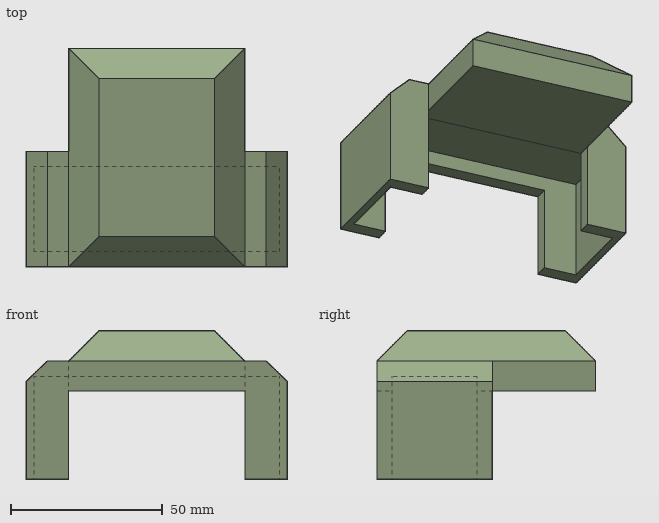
import cadquery as cq

bridge_width = 86.0
plate_length = 72.0
total_height = 49.0
leg_thickness = 14.0
leg_length = 38.0
plate_thickness = 10.0
pad_height = 10.0
pad_inset = 10.0
shoulder_run = 7.0
shoulder_drop = 6.7
cavity_side_wall = 2.5
cavity_end_wall = 5.0
cavity_height = 34.0

plate_width = bridge_width - 2 * leg_thickness
plate_top = total_height - pad_height
plate_bottom = plate_top - plate_thickness
half_bridge = bridge_width / 2
half_plate = plate_width / 2


def make_bridge():
    """U-shaped saddle with sloped outer shoulders, extruded from the front face."""
    profile = [
        (-half_bridge, 0),
        (-half_bridge, plate_top - shoulder_drop),
        (-half_bridge + shoulder_run, plate_top),
        (half_bridge - shoulder_run, plate_top),
        (half_bridge, plate_top - shoulder_drop),
        (half_bridge, 0),
        (half_plate, 0),
        (half_plate, plate_bottom),
        (-half_plate, plate_bottom),
        (-half_plate, 0),
    ]
    return cq.Workplane("XZ").polyline(profile).close().extrude(-leg_length)


def make_plate():
    """Flat plate that spans the legs and overhangs behind them."""
    return (
        cq.Workplane("XY", origin=(0, plate_length / 2, plate_bottom))
        .rect(plate_width, plate_length)
        .extrude(plate_thickness)
    )


def make_pad():
    """Raised pad on the plate, sloping inward on all four sides."""
    return (
        cq.Workplane("XY", origin=(0, plate_length / 2, plate_top))
        .rect(plate_width, plate_length)
        .workplane(offset=pad_height)
        .rect(plate_width - 2 * pad_inset, plate_length - 2 * pad_inset)
        .loft(ruled=True)
    )


def make_cavity():
    """Box cavity open at the bottom, hollowing both legs and the underside between them."""
    return (
        cq.Workplane("XY", origin=(0, leg_length / 2, 0))
        .rect(bridge_width - 2 * cavity_side_wall, leg_length - 2 * cavity_end_wall)
        .extrude(cavity_height)
    )


body = make_bridge().union(make_plate()).union(make_pad()).clean()
result = body.cut(make_cavity())